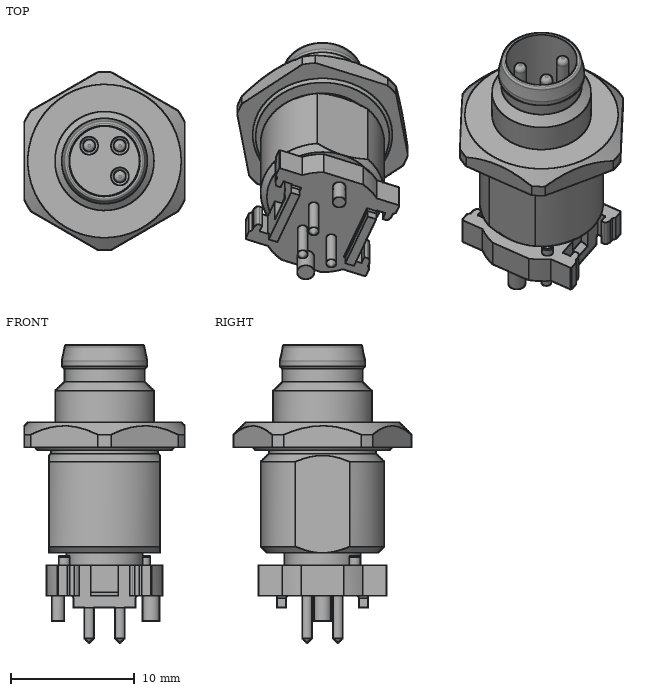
import cadquery as cq
import math

quarter_arc_middle = math.sqrt(0.5)

total_height = 24.1
pin_cone_top = 0.4
post_bottom = 1.78
web_bottom = 2.87
clip_bottom = 3.83
clip_top = 6.31
barrel_bottom = 7.3
barrel_top = 15.3
collar_bottom = 15.57
hex_bottom = 15.8
hex_top = 17.85
cavity_floor = hex_top
pin_top = 23.93

plug_diameter = 8.0
plug_cylinder_top = 20.4
neck_diameter = 6.5
neck_bottom = 21.1
neck_top = 22.15
snap_rim_diameter = 6.92
snap_rim_bottom = 22.36
snap_rim_top = 22.82
mouth_diameter = 6.45
mouth_round = 0.17
bore_diameter = 5.74
hex_across_flats = 13.0
hex_corner_diameter = 14.4
hex_face_diameter = 12.39
collar_diameter = 11.28
collar_chamfer = 0.25
groove_diameter = 8.68
barrel_diameter = 10.0
barrel_across_flats = 9.0
barrel_top_chamfer = 0.65
barrel_bottom_chamfer = 0.5

insert_edge_chamfer = 0.05
flange_diameter = 6.2
pin_spacing = 2.48
pin_offset = pin_spacing / 2
pin_positions = [(-pin_offset, pin_offset), (pin_offset, pin_offset), (pin_offset, -pin_offset)]
contact_diameter = 1.0
contact_tip_diameter = 0.22
dome_height = 0.43
tail_diameter = 0.82
countersink_diameter = 1.45

clip_diameter = barrel_diameter
clip_width = 9.4
arm_half_width = 3.8
clip_depth = 10.4
arm_corner_chamfer = 0.07
web_half_y = 3.69
arm_step_outer = 3.01
arm_step_inner = 2.8
arm_step_depth = 0.2
hook_root = 2.43
hook_tip = 2.05
hook_nose_x = 2.25
hook_nose_y = 4.92
hook_tip_y = 4.68
slot_half_width = 2.68
slot_outer_y = 4.4
window_width = 2.22
window_depth = 0.6
window_sill_rise = 0.3
web_length = 5.01
web_thickness = 0.75
web_flare = 0.1
web_flare_height = 0.2
peg_x = 3.25
peg_y = 2.6
peg_diameter = 0.92
peg_height = 0.77
peg_chamfer_height = 0.15
peg_chamfer_width = 0.07
post_x = 3.75
small_post_diameter = 1.04
large_post_diameter = 1.4


def revolve_about_z(profile):
    """Turn a closed (radius, z) profile about the Z axis."""
    return profile.close().revolve(360, (0, 0, 0), (0, 1, 0))


def rod(x, y, z_low, z_high, diameter):
    """Vertical cylinder between two levels."""
    return cq.Workplane("XY", origin=(x, y, z_low)).circle(diameter / 2).extrude(z_high - z_low)


def cone(x, y, z_low, z_high, low_diameter, high_diameter):
    """Vertical cone between two levels."""
    return cq.Workplane(
        cq.Solid.makeCone(low_diameter / 2, high_diameter / 2, z_high - z_low, cq.Vector(x, y, z_low))
    )


def make_plug():
    """Round plug end that rises from the hex flange."""
    arc_rise = mouth_round * quarter_arc_middle
    profile = (
        cq.Workplane("XZ")
        .moveTo(0, hex_bottom)
        .lineTo(plug_diameter / 2, hex_bottom)
        .lineTo(plug_diameter / 2, plug_cylinder_top)
        .lineTo(neck_diameter / 2, neck_bottom)
        .lineTo(neck_diameter / 2, neck_top)
        .lineTo(snap_rim_diameter / 2, snap_rim_bottom)
        .lineTo(snap_rim_diameter / 2, snap_rim_top)
        .lineTo(mouth_diameter / 2, total_height - mouth_round)
        .threePointArc(
            (mouth_diameter / 2 - mouth_round + arc_rise, total_height - mouth_round + arc_rise),
            (mouth_diameter / 2 - mouth_round, total_height),
        )
        .lineTo(0, total_height)
    )
    return revolve_about_z(profile)


def make_hex_flange():
    """Hexagon with two flats facing X, trimmed by a cylinder and a 45 degree cone."""
    half_side_angle = 30
    hexagon = (
        cq.Workplane("XY", origin=(0, 0, hex_bottom))
        .transformed(rotate=(0, 0, half_side_angle))
        .polygon(6, hex_across_flats / math.cos(math.radians(half_side_angle)))
        .extrude(hex_top - hex_bottom)
    )
    chamfer = (hex_corner_diameter - hex_face_diameter) / 2
    envelope = rod(0, 0, hex_bottom, hex_top, hex_corner_diameter).faces(">Z").chamfer(chamfer)
    return hexagon.intersect(envelope)


def make_barrel():
    """Chamfered barrel with two flats facing X, and the groove and collar under the hex."""
    profile = (
        cq.Workplane("XZ")
        .moveTo(0, barrel_bottom)
        .lineTo(barrel_diameter / 2 - barrel_bottom_chamfer, barrel_bottom)
        .lineTo(barrel_diameter / 2, barrel_bottom + barrel_bottom_chamfer)
        .lineTo(barrel_diameter / 2, barrel_top - barrel_top_chamfer)
        .lineTo(barrel_diameter / 2 - barrel_top_chamfer, barrel_top)
        .lineTo(0, barrel_top)
    )
    flats = (
        cq.Workplane("XY", origin=(0, 0, barrel_bottom))
        .rect(barrel_across_flats, barrel_diameter)
        .extrude(barrel_top - barrel_bottom)
    )
    barrel = revolve_about_z(profile).intersect(flats)
    groove = rod(0, 0, barrel_top, collar_bottom, groove_diameter)
    collar = rod(0, 0, collar_bottom, hex_bottom, collar_diameter)
    collar = collar.intersect(
        cone(0, 0, collar_bottom, hex_bottom, collar_diameter - 2 * collar_chamfer, collar_diameter)
    )
    return barrel.union(groove).union(collar)


def make_housing():
    """Housing with a straight bore from end to end."""
    bore = rod(0, 0, barrel_bottom, total_height, bore_diameter)
    return make_plug().union(make_hex_flange()).union(make_barrel()).cut(bore)


def make_pin(x, y):
    """Domed contact above the carrier and a pointed tail below it."""
    base_radius = contact_diameter / 2
    tip_radius = contact_tip_diameter / 2
    dome_base = pin_top - dome_height
    dome_profile = (
        cq.Workplane("XZ")
        .moveTo(0, dome_base)
        .lineTo(base_radius, dome_base)
        .threePointArc(
            (
                tip_radius + (base_radius - tip_radius) * quarter_arc_middle,
                dome_base + dome_height * quarter_arc_middle,
            ),
            (tip_radius, pin_top),
        )
        .lineTo(0, pin_top)
    )
    dome = revolve_about_z(dome_profile).translate((x, y, 0))
    contact = rod(x, y, barrel_bottom, dome_base, contact_diameter)
    tail = rod(x, y, pin_cone_top, barrel_bottom, tail_diameter)
    point = cone(x, y, 0, pin_cone_top, 0, tail_diameter)
    return contact.union(dome).union(tail).union(point)


def make_insert():
    """Carrier that fills the bore below the cavity, its flange, and the pins."""
    carrier = rod(0, 0, barrel_bottom, cavity_floor, bore_diameter).faces(">Z").chamfer(insert_edge_chamfer)
    insert = carrier.union(rod(0, 0, clip_top, barrel_bottom, flange_diameter))
    countersink_depth = (countersink_diameter - contact_diameter) / 2
    for x, y in pin_positions:
        countersink = cone(
            x, y, cavity_floor - countersink_depth, cavity_floor, contact_diameter, countersink_diameter
        )
        insert = insert.cut(countersink)
    for x, y in pin_positions:
        insert = insert.union(make_pin(x, y))
    return insert


def clip_block(width, depth):
    """Centred rectangular block of the clip's thickness."""
    return cq.Workplane("XY", origin=(0, 0, clip_bottom)).rect(width, depth).extrude(clip_top - clip_bottom)


def make_plate():
    """Round plate with flats facing X, widened in Y by a block that carries the four arms."""
    disc = rod(0, 0, clip_bottom, clip_top, clip_diameter)
    disc = disc.intersect(clip_block(clip_width, clip_diameter))
    arms = clip_block(2 * arm_half_width, clip_depth).edges("|Z").chamfer(arm_corner_chamfer)
    return disc.union(arms)


def make_arm_gap():
    """Opening between the two hooked arms on the -Y side, with its undercut slots."""
    face_y = -clip_depth / 2
    step_y = face_y + arm_step_depth
    nose_middle = (
        hook_nose_x - (hook_nose_x - hook_tip) * quarter_arc_middle,
        -hook_tip_y - (hook_nose_y - hook_tip_y) * quarter_arc_middle,
    )
    half_gap = (
        cq.Workplane("XY", origin=(0, 0, clip_bottom))
        .moveTo(0, -web_half_y)
        .lineTo(slot_half_width, -web_half_y)
        .lineTo(slot_half_width, -slot_outer_y)
        .lineTo(hook_tip, -slot_outer_y)
        .lineTo(hook_tip, -hook_tip_y)
        .threePointArc(nose_middle, (hook_nose_x, -hook_nose_y))
        .lineTo(hook_root, step_y)
        .lineTo(arm_step_inner, step_y)
        .lineTo(arm_step_outer, face_y)
        .lineTo(0, face_y)
        .close()
        .extrude(clip_top - clip_bottom)
    )
    return half_gap.union(half_gap.mirror("YZ"))


def make_window():
    """Recess in the -Y web face, open at the top, with a sill that rises inwards."""
    back_y = -web_half_y + window_depth
    return (
        cq.Workplane("YZ", origin=(-window_width / 2, 0, 0))
        .moveTo(-web_half_y, clip_bottom)
        .lineTo(back_y, clip_bottom + window_sill_rise)
        .lineTo(back_y, clip_top)
        .lineTo(-web_half_y, clip_top)
        .close()
        .extrude(window_width)
    )


def make_web():
    """Foot under the -Y edge, flared at its ends and inner side where it meets the plate."""
    centre_y = -web_half_y + web_thickness / 2
    foot = (
        cq.Workplane("XY", origin=(0, centre_y, web_bottom))
        .rect(web_length, web_thickness)
        .extrude(clip_bottom - web_bottom)
    )
    flare = (
        cq.Workplane("XY", origin=(0, centre_y, clip_bottom - web_flare_height))
        .rect(web_length, web_thickness)
        .workplane(offset=web_flare_height)
        .center(0, web_flare / 2)
        .rect(web_length + 2 * web_flare, web_thickness + web_flare)
        .loft(ruled=True)
    )
    return foot.union(flare)


def make_clip():
    """Clip with the same arms, window and web on both Y sides."""
    clip = make_plate()
    for angle in (0, 180):
        opening = make_arm_gap().union(make_window()).rotate((0, 0, 0), (0, 0, 1), angle)
        web = make_web().rotate((0, 0, 0), (0, 0, 1), angle)
        clip = clip.cut(opening).union(web)
    for side in (-1, 1):
        peg = rod(side * peg_x, side * peg_y, clip_top, clip_top + peg_height, peg_diameter)
        clip = clip.union(peg.faces(">Z").chamfer(peg_chamfer_height, peg_chamfer_width))
    clip = clip.union(rod(-post_x, 0, post_bottom, clip_bottom, small_post_diameter))
    clip = clip.union(rod(post_x, 0, post_bottom, clip_bottom, large_post_diameter))
    for x, y in pin_positions:
        clip = clip.cut(rod(x, y, clip_bottom, clip_top, tail_diameter))
    return clip


housing = make_housing()
insert = make_insert()
clip = make_clip()
result = cq.Compound.makeCompound([housing.solids().val(), insert.solids().val(), clip.solids().val()])